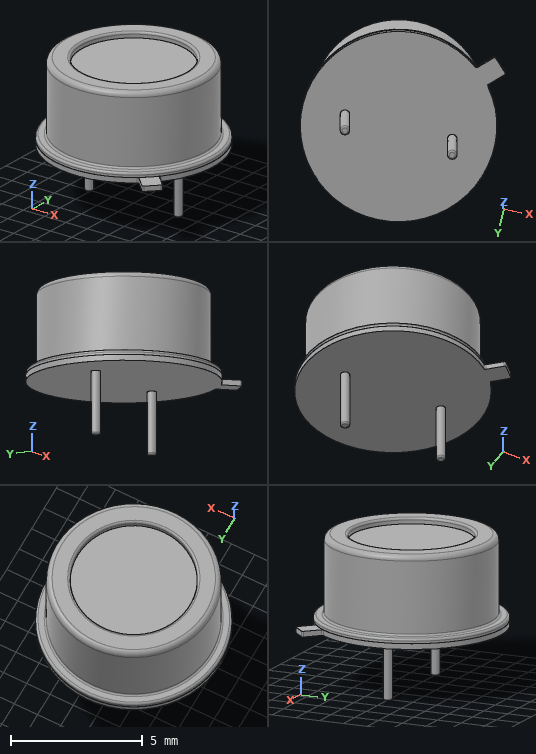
import cadquery as cq
import math

base_radius = 3.735
base_thickness = 0.23
tab_reach = 4.55
tab_width = 0.79
tab_angle = -45.0
tab_rounding = 0.07

sheet = 0.195
roof_thickness = 0.255
cap_radius = 3.325
cap_top = 3.585
cap_top_rounding = 0.225
flange_edge_rounding = 0.1
flange_root_rounding = 0.075
opening_radius = 2.41
opening_edge_rounding = 0.1

window_thickness = sheet

pin_radius = 0.18
pin_length = 2.46
pin_offset = 2.09
pin_tip_rounding = 0.07

flange_top = base_thickness + sheet
cavity_radius = cap_radius - sheet
roof_bottom = cap_top - roof_thickness


def disc(radius, bottom, top):
    """Upright cylinder on the part's axis."""
    return cq.Workplane("XY").workplane(offset=bottom).circle(radius).extrude(top - bottom)


def make_base():
    """Flat round plate with a tab in its own plane, built along +X and then turned."""
    tab = cq.Workplane("XY").rect(tab_reach, tab_width).extrude(base_thickness)
    tab = tab.translate((tab_reach / 2, 0, 0))
    plate = disc(base_radius, 0, base_thickness).union(tab)
    root_x = math.sqrt(base_radius**2 - (tab_width / 2) ** 2)
    tab_edges = cq.selectors.BoxSelector(
        (root_x - tab_rounding, -tab_width, -base_thickness),
        (tab_reach + tab_rounding, tab_width, 2 * base_thickness),
    )
    plate = plate.edges("|Z").edges(tab_edges).fillet(tab_rounding)
    return plate.rotate((0, 0, 0), (0, 0, 1), tab_angle)


def make_cap():
    """Open-bottomed can with rounded edges, hollow below its roof."""
    flange = disc(base_radius, base_thickness, flange_top)
    flange = flange.faces(">Z").edges().fillet(flange_edge_rounding)
    can = disc(cap_radius, base_thickness, cap_top)
    can = can.faces(">Z").edges().fillet(cap_top_rounding)
    can = flange.union(can)
    flange_top_zone = cq.selectors.BoxSelector(
        (-base_radius, -base_radius, flange_top - sheet / 10),
        (base_radius, base_radius, flange_top + sheet / 10),
    )
    flange_root = can.edges("%CIRCLE").edges(flange_top_zone).edges(cq.selectors.RadiusNthSelector(0))
    can = flange_root.fillet(flange_root_rounding)
    can = can.cut(disc(cavity_radius, base_thickness, roof_bottom))
    can = can.cut(disc(opening_radius, roof_bottom, cap_top))
    return can.faces(">Z").edges(cq.selectors.RadiusNthSelector(0)).fillet(opening_edge_rounding)


def make_window():
    """Plain disc that fills the cavity's width and closes the opening from below."""
    return disc(cavity_radius, roof_bottom - window_thickness, roof_bottom)


def make_pin(x):
    """Straight round pin under the base, rounded at its lower end."""
    pin = disc(pin_radius, -pin_length, 0)
    return pin.faces("<Z").edges().fillet(pin_tip_rounding).translate((x, 0, 0))


base = make_base()
cap = make_cap()
window = make_window()
pins = [make_pin(side * pin_offset) for side in (-1, 1)]

result = cq.Compound.makeCompound(
    [base.val(), cap.val(), window.val(), *[pin.val() for pin in pins]]
)